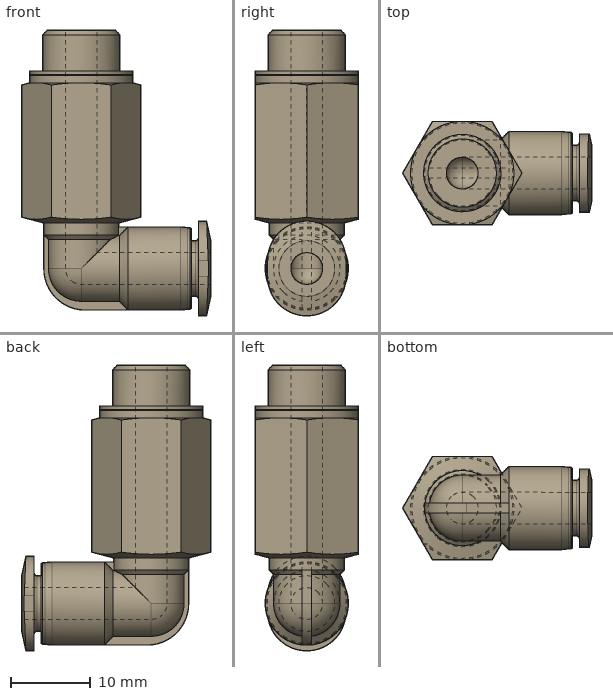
import cadquery as cq
import math

total_height = 35.9
washer_top = 30.8
washer_bottom = 30.35
collar_top = 30.23
hex_top = 29.3
neck_bottom = 10.15

stem_diameter = 9.73
stem_chamfer = 0.57
hex_width = 13.0
washer_gap_depth = 0.18
hex_chamfer_angle = 15
hex_bottom = 11.65
neck_diameter = 9.45
bore_diameter = 4.0

elbow_diameter = 8.33
web_thickness = 1.22

socket_diameter = 10.5
socket_start = 5.85
sleeve_diameter = 10.3
taper_start = 12.5
taper_end = 13.32
socket_end = 13.82
socket_edge_chamfer = 0.15

ring_height = 11.92
ring_width = 9.87
ring_start = 14.72
ring_neck_diameter = 7.0
ring_neck_fillet = 0.4
ring_cone_angle = 12.5
overall_length = 23.8

hex_corner_diameter = hex_width / math.cos(math.radians(30))
ring_end = overall_length - hex_corner_diameter / 2
socket_z = ring_height / 2
hex_slope = math.tan(math.radians(hex_chamfer_angle))


def vertical_turning(points):
    """Solid of revolution about Z from (radius, z) points."""
    return cq.Workplane("XZ").polyline(points).close().revolve(360, (0, 0), (0, 1))


def along_socket(profile):
    """Solid of revolution about the socket axis from a closed (x, z) profile."""
    return profile.revolve(360, (0, socket_z), (1, socket_z))


def stem():
    radius = stem_diameter / 2
    return vertical_turning([
        (0, hex_top),
        (radius, hex_top),
        (radius, total_height - stem_chamfer),
        (radius - stem_chamfer, total_height),
        (0, total_height),
    ])


def washer_collar():
    """Washer resting on the collar of the hexagon, with a thin gap between them."""
    radius = hex_width / 2
    return vertical_turning([
        (0, hex_top),
        (radius, hex_top),
        (radius, collar_top),
        (radius - washer_gap_depth, collar_top),
        (radius - washer_gap_depth, washer_bottom),
        (radius, washer_bottom),
        (radius, washer_top),
        (0, washer_top),
    ])


def hexagon():
    """Hexagon with corners on the X axis, trimmed by a cone at each end."""
    prism = (
        cq.Workplane("XY")
        .workplane(offset=hex_bottom)
        .polygon(6, hex_corner_diameter)
        .extrude(hex_top - hex_bottom)
    )
    corner_radius = hex_corner_diameter / 2
    top_drop = (corner_radius - hex_width / 2) * hex_slope
    bottom_rise = (corner_radius - neck_diameter / 2) * hex_slope
    envelope = vertical_turning([
        (0, hex_bottom),
        (neck_diameter / 2, hex_bottom),
        (corner_radius, hex_bottom + bottom_rise),
        (corner_radius, hex_top - top_drop),
        (hex_width / 2, hex_top),
        (0, hex_top),
    ])
    return prism.intersect(envelope)


def elbow():
    """Neck and vertical leg, rounded corner, and horizontal leg."""
    neck_radius = neck_diameter / 2
    leg_radius = elbow_diameter / 2
    vertical_leg = vertical_turning([
        (0, socket_z),
        (leg_radius, socket_z),
        (leg_radius, neck_bottom - (neck_radius - leg_radius)),
        (neck_radius, neck_bottom),
        (neck_radius, hex_bottom),
        (0, hex_bottom),
    ])
    corner = cq.Workplane("XY").sphere(leg_radius).translate((0, 0, socket_z))
    horizontal_leg = (
        cq.Workplane("YZ").center(0, socket_z).circle(leg_radius).extrude(socket_start)
    )
    return vertical_leg.union(corner).union(horizontal_leg)


def web():
    """Flat plate in the plane of the elbow, filling it out to the neck and the barrel."""
    corner_radius = socket_diameter / 2
    left = -neck_diameter / 2
    bottom = socket_z - corner_radius
    return (
        cq.Workplane("XZ")
        .moveTo(left, neck_bottom)
        .lineTo(left, bottom + corner_radius)
        .radiusArc((left + corner_radius, bottom), -corner_radius)
        .lineTo(socket_start, bottom)
        .lineTo(socket_start, bottom + socket_diameter)
        .lineTo(0, bottom + socket_diameter)
        .lineTo(0, neck_bottom)
        .close()
        .extrude(web_thickness / 2, both=True)
    )


def socket():
    """Conical shoulder, barrel and slightly tapered sleeve."""
    shoulder_length = (socket_diameter - elbow_diameter) / 2
    sleeve_z = socket_z + sleeve_diameter / 2
    barrel_z = socket_z + socket_diameter / 2
    profile = cq.Workplane("XZ").polyline([
        (socket_start - shoulder_length, socket_z),
        (socket_start - shoulder_length, socket_z + elbow_diameter / 2),
        (socket_start, barrel_z),
        (taper_start, barrel_z),
        (taper_end, sleeve_z),
        (socket_end - socket_edge_chamfer, sleeve_z),
        (socket_end, sleeve_z - socket_edge_chamfer),
        (socket_end, socket_z),
    ]).close()
    return along_socket(profile)


def ring_neck():
    """Neck of the release ring, flaring into the back of the ring."""
    neck_z = socket_z + ring_neck_diameter / 2
    profile = (
        cq.Workplane("XZ")
        .moveTo(socket_end, socket_z)
        .lineTo(socket_end, neck_z)
        .lineTo(ring_start - ring_neck_fillet, neck_z)
        .radiusArc((ring_start, neck_z + ring_neck_fillet), -ring_neck_fillet)
        .lineTo(ring_start, socket_z)
        .close()
    )
    return along_socket(profile)


def release_ring():
    """Upright obround plate with a conical outer face."""
    plate = (
        cq.Workplane("YZ")
        .workplane(offset=ring_start)
        .center(0, socket_z)
        .slot2D(ring_height, ring_width, 90)
        .extrude(ring_end - ring_start)
    )
    face_radius = ring_neck_diameter / 2
    outer_radius = ring_height / 2
    cone_depth = (outer_radius - face_radius) * math.tan(math.radians(ring_cone_angle))
    envelope = along_socket(cq.Workplane("XZ").polyline([
        (ring_start, socket_z),
        (ring_start, socket_z + outer_radius),
        (ring_end - cone_depth, socket_z + outer_radius),
        (ring_end, socket_z + face_radius),
        (ring_end, socket_z),
    ]).close())
    return plate.intersect(envelope)


def bore():
    """Passage from the stem down to the elbow and out through the socket."""
    radius = bore_diameter / 2
    down = (
        cq.Workplane("XY").workplane(offset=socket_z).circle(radius).extrude(total_height - socket_z)
    )
    across = cq.Workplane("YZ").center(0, socket_z).circle(radius).extrude(ring_end)
    corner = cq.Workplane("XY").sphere(radius).translate((0, 0, socket_z))
    return down.union(across).union(corner)


body = stem()
for section in (washer_collar, hexagon, elbow, web, socket, ring_neck, release_ring):
    body = body.union(section())

result = body.cut(bore())